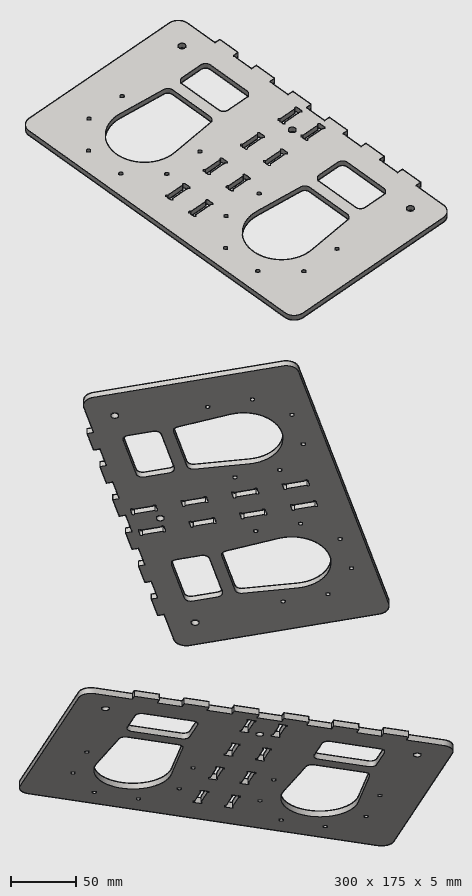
import cadquery as cq
import math

plate_length = 300.0
overall_width = 175.0
thickness = 5.0
corner_radius = 10.0

tab_count = 6
tab_length = 20.0
tab_depth = 5.0
pitches_per_plate = 7.5
joint_pitch = plate_length / pitches_per_plate

plate_width = overall_width - tab_depth
rear_edge_y = plate_width

mount_hole_diameter = 6.0
side_hole_x = 125.0
side_hole_y = 149.0
middle_hole_y = 145.0

station_x = plate_length / 4

window_length = 50.0
window_width = 30.0
window_front_y = 120.0
window_radius = 5.0

round_radius = 30.0
round_center_y = 60.0
opening_rear_y = 110.0
opening_rear_radius = 5.0

screw_hole_diameter = 3.3
screw_offset = 42.5
screw_half_spacing = 17.7

slot_rows = 4
slot_column_x = 12.5
slot_length = 20.0
slot_width = 5.0
slot_edge_gap = 5.0
relief_radius = 1.0


def through_holes(diameter, points):
    return cq.Workplane("XY").pushPoints(points).circle(diameter / 2).extrude(thickness)


def through_rects(length, width, points):
    return cq.Workplane("XY").pushPoints(points).rect(length, width).extrude(thickness)


def make_plate():
    plate = (
        cq.Workplane("XY")
        .center(0, plate_width / 2)
        .rect(plate_length, plate_width)
        .extrude(thickness)
        .edges("|Z")
        .fillet(corner_radius)
    )
    tab_points = [((i - (tab_count - 1) / 2) * joint_pitch, rear_edge_y) for i in range(tab_count)]
    return plate.union(through_rects(tab_length, 2 * tab_depth, tab_points))


def make_window(x):
    center = (x, window_front_y + window_width / 2)
    return through_rects(window_length, window_width, [center]).edges("|Z").fillet(window_radius)


def make_tapered_opening(x):
    rear_x = window_length / 2
    rear_rise = opening_rear_y - round_center_y
    tangent_angle = math.atan2(rear_rise, rear_x) - math.acos(round_radius / math.hypot(rear_x, rear_rise))
    tangent_x = round_radius * math.cos(tangent_angle)
    tangent_y = round_center_y + round_radius * math.sin(tangent_angle)
    return (
        cq.Workplane("XY")
        .moveTo(x - rear_x, opening_rear_y)
        .lineTo(x - tangent_x, tangent_y)
        .threePointArc((x, round_center_y - round_radius), (x + tangent_x, tangent_y))
        .lineTo(x + rear_x, opening_rear_y)
        .close()
        .extrude(thickness)
        .edges("|Z and >Y")
        .fillet(opening_rear_radius)
    )


def make_screw_holes(x):
    points = []
    for side in (-1, 1):
        points.append((x + side * screw_half_spacing, round_center_y - screw_offset))
        for end in (-1, 1):
            points.append((x + side * screw_offset, round_center_y + end * screw_half_spacing))
    return through_holes(screw_hole_diameter, points)


def make_slots():
    slot_points = []
    relief_points = []
    first_slot_y = rear_edge_y - slot_edge_gap - slot_length / 2
    relief_offset = slot_length / 2 - relief_radius
    for row in range(slot_rows):
        y = first_slot_y - row * joint_pitch
        for x in (-slot_column_x, slot_column_x):
            slot_points.append((x, y))
            relief_points += [(x, y - relief_offset), (x, y + relief_offset)]
    slots = through_rects(slot_width, slot_length, slot_points)
    reliefs = (
        cq.Workplane("XY")
        .pushPoints(relief_points)
        .slot2D(slot_width + 2 * relief_radius, 2 * relief_radius)
        .extrude(thickness)
    )
    return slots.union(reliefs)


mount_points = [(-side_hole_x, side_hole_y), (side_hole_x, side_hole_y), (0, middle_hole_y)]

result = make_plate().cut(through_holes(mount_hole_diameter, mount_points)).cut(make_slots())
for center_x in (-station_x, station_x):
    result = result.cut(make_window(center_x))
    result = result.cut(make_tapered_opening(center_x))
    result = result.cut(make_screw_holes(center_x))